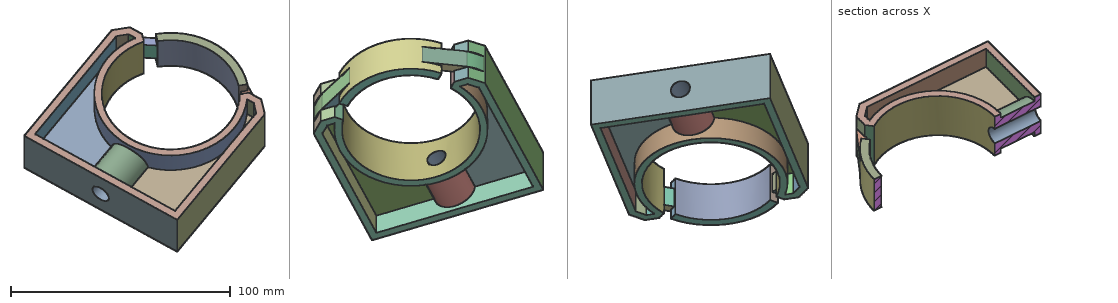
import cadquery as cq
import math

body_width = 84.0
body_length = 77.3
body_height = 25.0
shoulder_chamfer = 5.9
wall = 3.6
web_thickness = 2.0
pocket_chamfer = 4.0

overall_length = 92.7
bore_radius = 31.4
ring_outer_radius = 34.8
strap_outer_radius = 35.6
bore_center_y = overall_length - strap_outer_radius
mouth_half_width = 26.3
mouth_tip_y = bore_center_y + math.sqrt(bore_radius**2 - mouth_half_width**2)
mouth_chamfer = body_length - mouth_tip_y

strap_half_angle = 45.0
strap_height = 20.2
link_height = 10.2
link_slope = 30.0
link_bend_x = 35.6
link_end_x = 41.3
link_root_x = 35.2

boss_diameter = 20.0
hole_diameter = 9.0

half_width = body_width / 2


def on_bore_axis(radius, degrees_from_y):
    """Point at a radius from the bore axis, at an angle measured from +Y."""
    angle = math.radians(degrees_from_y)
    return (radius * math.sin(angle), bore_center_y + radius * math.cos(angle))


def extrude_centered(sketch, height):
    return sketch.extrude(height / 2, both=True)


def disc(radius, height):
    return extrude_centered(cq.Workplane("XY").center(0, bore_center_y).circle(radius), height)


def cylinder_along_y(diameter, length):
    return cq.Workplane("XZ").circle(diameter / 2).extrude(-length)


def make_body():
    """C-shaped block whose bore opens through a chamfered mouth."""
    sketch = (
        cq.Workplane("XY")
        .moveTo(-half_width, 0)
        .lineTo(half_width, 0)
        .lineTo(half_width, body_length - shoulder_chamfer)
        .lineTo(half_width - shoulder_chamfer, body_length)
        .lineTo(mouth_half_width + mouth_chamfer, body_length)
        .lineTo(mouth_half_width, mouth_tip_y)
        .threePointArc((0, bore_center_y - bore_radius), (-mouth_half_width, mouth_tip_y))
        .lineTo(-mouth_half_width - mouth_chamfer, body_length)
        .lineTo(-half_width + shoulder_chamfer, body_length)
        .lineTo(-half_width, body_length - shoulder_chamfer)
        .close()
    )
    return extrude_centered(sketch, body_height)


def make_strap():
    """Arc of the ring that spans the mouth."""
    sketch = (
        cq.Workplane("XY")
        .moveTo(*on_bore_axis(bore_radius, -strap_half_angle))
        .threePointArc(on_bore_axis(bore_radius, 0), on_bore_axis(bore_radius, strap_half_angle))
        .lineTo(*on_bore_axis(strap_outer_radius, strap_half_angle))
        .threePointArc(
            on_bore_axis(strap_outer_radius, 0),
            on_bore_axis(strap_outer_radius, -strap_half_angle),
        )
        .close()
    )
    return extrude_centered(sketch, strap_height)


def make_link():
    """Straight tangent band on the +X side, curving down onto the shoulder."""
    inner_start = on_bore_axis(bore_radius, link_slope)
    outer_start = on_bore_axis(strap_outer_radius, link_slope)
    fall = math.tan(math.radians(link_slope))
    bend_y = outer_start[1] - fall * (link_bend_x - outer_start[0])
    root_y = inner_start[1] - fall * (link_root_x - inner_start[0])
    end_y = body_length - shoulder_chamfer + half_width - link_end_x
    sketch = (
        cq.Workplane("XY")
        .moveTo(*inner_start)
        .lineTo(*outer_start)
        .lineTo(link_bend_x, bend_y)
        .tangentArcPoint((link_end_x, end_y), relative=False)
        .lineTo(link_root_x, root_y)
        .close()
    )
    return extrude_centered(sketch, link_height)


def make_pockets():
    """Space between the outer wall and the ring, on both sides of the web."""
    pocket_width = body_width - 2 * wall
    pocket_length = body_length - 2 * wall
    space = (
        cq.Workplane("XY")
        .box(pocket_width, pocket_length, body_height, centered=(True, False, True))
        .translate((0, wall, 0))
        .edges("|Z and >Y")
        .chamfer(pocket_chamfer)
    )
    web = cq.Workplane("XY").box(2 * body_width, 2 * overall_length, web_thickness)
    boss = cylinder_along_y(boss_diameter, bore_center_y)
    return space.cut(disc(ring_outer_radius, body_height)).cut(web).cut(boss)


link = make_link()
result = make_body().union(link).union(link.mirror("YZ"))
result = result.cut(make_pockets())
result = result.union(make_strap())
result = result.cut(cylinder_along_y(hole_diameter, bore_center_y))